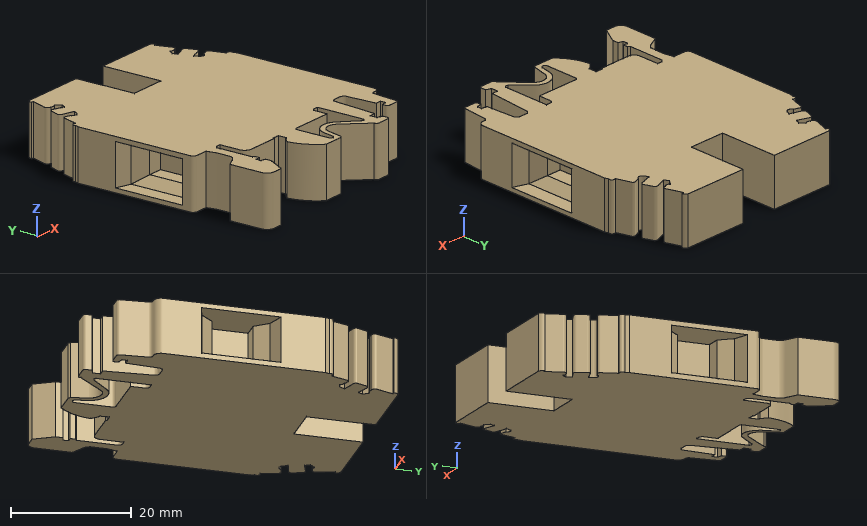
import cadquery as cq
import math

thickness = 10.0
width = 44.2
height = 53.0
half_width = width / 2

split_y = 18.0
shoulder_y = 38.9
mouth_half_width = 3.7
mouth_floor_y = 41.0

left_ledge_y = 14.95
rail_face_y = 9.5
leg_gap_y = 12.65
side_round = 0.9

arch_x = 3.0
arch_y = 3.78
arch_inner_radius = 2.1
arch_outer_radius = 3.15
arch_left_angle = 166
arch_right_angle = 43

foot_x = -21.5
foot_gap_x = -16.4
gap_right_x = -14.95
hook_y = 6.0
spring_leg_y = 0.95
right_leg_y = 3.65

entry_margin = 0.9
entry_y = 24.3
entry_mouth = 13.8
entry_waist = 11.8
entry_throat = 7.1
entry_waist_depth = 3.0
entry_throat_depth = 5.0
entry_depth = 8.0
throat_floor_z = 2.5


def arch_point(radius, angle):
    """Point on the spring arch at a radius and an angle in degrees."""
    turn = math.radians(angle)
    return (arch_x + radius * math.cos(turn), arch_y + radius * math.sin(turn))


def left_upper_half():
    """Left half of the upper housing, with two slanted grip notches in its edge."""
    return (
        cq.Workplane("XY")
        .moveTo(0, split_y)
        .lineTo(-half_width, split_y)
        .lineTo(-half_width, shoulder_y)
        .lineTo(-21.85, 39.6)
        .threePointArc((-21.55, 40.4), (-21.0, 40.3))
        .lineTo(-20.1, 43.2)
        .threePointArc((-19.85, 43.5), (-19.4, 43.45))
        .lineTo(-18.35, 43.1)
        .threePointArc((-17.5, 42.6), (-16.95, 43.1))
        .lineTo(-16.55, 43.8)
        .lineTo(-19.0, 44.6)
        .threePointArc((-19.3, 44.85), (-19.35, 45.2))
        .lineTo(-18.7, 46.9)
        .threePointArc((-18.45, 47.2), (-18.0, 47.25))
        .lineTo(-15.75, 46.4)
        .lineTo(-15.3, 47.3)
        .lineTo(-16.05, 48.25)
        .threePointArc((-16.55, 48.05), (-17.2, 48.2))
        .threePointArc((-17.8, 48.45), (-17.9, 49.0))
        .lineTo(-16.85, 52.05)
        .lineTo(-17.3, 52.1)
        .threePointArc((-17.15, 52.65), (-16.8, height))
        .lineTo(-mouth_half_width, height)
        .lineTo(-mouth_half_width, mouth_floor_y)
        .lineTo(0, mouth_floor_y)
        .close()
        .extrude(thickness)
    )


def lower_half():
    """Lower housing with the left foot, the spring leg and the two right-hand legs."""
    return (
        cq.Workplane("XY")
        .moveTo(-half_width, split_y)
        .lineTo(-half_width, left_ledge_y + side_round)
        .threePointArc((-21.85, 15.2), (-half_width + side_round, left_ledge_y))
        .lineTo(-18.8, left_ledge_y)
        .lineTo(-18.4, 13.0)
        .lineTo(-18.4, 10.2)
        .threePointArc((-18.65, 9.65), (-19.2, 9.2))
        .lineTo(foot_x, 8.0)
        .lineTo(foot_x, 1.5)
        .threePointArc((-21.05, 0.4), (-20.0, 0))
        .lineTo(-18.05, 0)
        .lineTo(-16.0, 3.5)
        .lineTo(-16.0, 4.75)
        .lineTo(-16.95, 5.0)
        .lineTo(-16.95, hook_y)
        .lineTo(-16.0, hook_y)
        .lineTo(-16.0, 6.9)
        .lineTo(foot_gap_x, 7.2)
        .lineTo(foot_gap_x, 14.3)
        .threePointArc((-16.2, 14.75), (-15.7, left_ledge_y))
        .lineTo(gap_right_x, left_ledge_y)
        .lineTo(gap_right_x, 10.9)
        .threePointArc((-14.54, 9.91), (-13.55, rail_face_y))
        .lineTo(-7.15, rail_face_y)
        .lineTo(-7.15, 9.75)
        .lineTo(-5.7, 9.75)
        .lineTo(-5.7, 8.1)
        .lineTo(-6.1, 7.95)
        .lineTo(-7.15, 6.9)
        .threePointArc((-6.2, 3.6), (-4.25, spring_leg_y))
        .lineTo(-0.1, spring_leg_y)
        .lineTo(0.25, 1.25)
        .lineTo(*arch_point(arch_inner_radius, arch_left_angle))
        .threePointArc(arch_point(arch_inner_radius, 90), arch_point(arch_inner_radius, arch_right_angle))
        .lineTo(8.6, 0.6)
        .threePointArc((8.75, 0.15), (9.1, 0))
        .lineTo(11.6, 0)
        .threePointArc((11.95, 0.15), (12.1, 0.5))
        .lineTo(12.1, 1.5)
        .lineTo(11.05, 1.85)
        .lineTo(11.05, 3.25)
        .lineTo(12.3, 3.25)
        .lineTo(13.05, 12.0)
        .threePointArc((13.3, 12.45), (13.8, leg_gap_y))
        .lineTo(15.25, leg_gap_y)
        .threePointArc((15.8, 12.45), (16.1, 12.0))
        .lineTo(16.45, hook_y)
        .lineTo(17.6, hook_y)
        .lineTo(17.6, 5.0)
        .lineTo(16.5, 4.75)
        .lineTo(16.5, 4.1)
        .threePointArc((16.63, 3.78), (16.95, right_leg_y))
        .lineTo(19.0, right_leg_y)
        .threePointArc((19.35, 3.78), (19.5, 4.1))
        .lineTo(19.95, 9.0)
        .threePointArc((20.1, 9.35), (20.45, rail_face_y))
        .lineTo(20.8, rail_face_y)
        .threePointArc((21.72, 9.88), (half_width, 10.8))
        .lineTo(half_width, split_y)
        .close()
        .extrude(thickness)
    )


def spring_window():
    """Opening above the arched spring strip, between the spring leg and the middle leg."""
    return (
        cq.Workplane("XY")
        .moveTo(-1.55, 9.0)
        .threePointArc((-1.4, 9.35), (-1.05, rail_face_y))
        .lineTo(7.5, rail_face_y)
        .lineTo(7.5, 12.1)
        .threePointArc((7.75, 12.5), (8.2, leg_gap_y))
        .lineTo(9.05, leg_gap_y)
        .lineTo(9.05, 3.1)
        .threePointArc((8.75, 2.9), (8.25, 2.95))
        .lineTo(*arch_point(arch_outer_radius, arch_right_angle))
        .threePointArc(arch_point(arch_outer_radius, 90), arch_point(arch_outer_radius, arch_left_angle))
        .lineTo(-0.5, 2.4)
        .threePointArc((-0.95, 1.97), (-1.55, 2.5))
        .close()
        .extrude(thickness)
    )


def entry_section(depth, length, floor_z):
    """Rectangular section of the left wire entry at a given depth behind the side wall."""
    ceiling_z = thickness - entry_margin
    return (
        cq.Workplane("YZ", origin=(depth - half_width, 0, 0))
        .center(entry_y, (floor_z + ceiling_z) / 2)
        .rect(length, ceiling_z - floor_z)
    )


def entry_stage(start, end):
    """Solid between two entry sections, each given as (depth, length, floor level)."""
    start_wire = entry_section(*start).ctx.pendingWires[0]
    end_wire = entry_section(*end).ctx.pendingWires[0]
    return cq.Workplane(cq.Solid.makeLoft([start_wire, end_wire], True))


def left_wire_entry():
    """Tapered mouth, funnel and straight inner hole of the left wire entry."""
    mouth = (0, entry_mouth, entry_margin)
    waist = (entry_waist_depth, entry_waist, entry_margin)
    throat = (entry_throat_depth, entry_throat, throat_floor_z)
    end = (entry_depth, entry_throat, throat_floor_z)
    return entry_stage(mouth, waist).union(entry_stage(waist, throat)).union(entry_stage(throat, end))


upper_left = left_upper_half()
housing = upper_left.union(upper_left.mirror("YZ")).union(lower_half()).cut(spring_window())

entry = left_wire_entry()
result = housing.cut(entry).cut(entry.mirror("YZ")).clean()